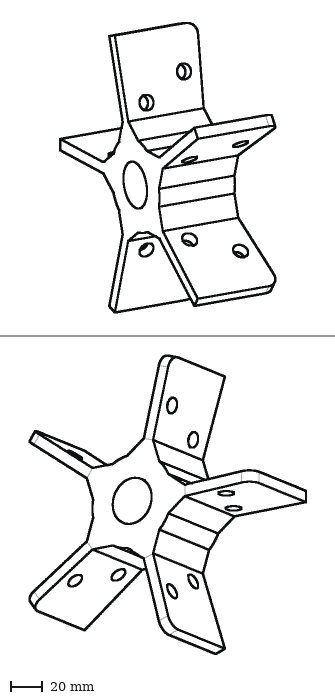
import cadquery as cq
import math

hub_radius = 30.7
bore_diameter = 30.0
hub_depth = 55.0

fin_count = 5
fin_reach = 95.4
fin_thickness = 7.5
fin_depth = 59.2
fin_corner_radius = 7.5
fin_root = 40.5

flare_angle = math.radians(180 / fin_count)

hole_diameter = 10.0
hole_places = [(65.5, 45.0), (50.2, 15.0)]


def make_hub():
    return cq.Workplane("XZ").circle(hub_radius).extrude(-hub_depth)


def make_flare():
    """Wedge from the hub axis out to the root of the fin that points along -X."""
    half = fin_thickness / 2
    side_offset = fin_root * math.sin(flare_angle) + half * math.cos(flare_angle)
    meeting_angle = math.pi / 2 - flare_angle - math.acos(side_offset / hub_radius)
    meeting_x = -hub_radius * math.cos(meeting_angle)
    meeting_z = hub_radius * math.sin(meeting_angle)
    outline = [
        (0, 0),
        (meeting_x, meeting_z),
        (-fin_root, half),
        (-fin_root, -half),
        (meeting_x, -meeting_z),
    ]
    return cq.Workplane("XZ").polyline(outline).close().extrude(-hub_depth)


def make_fin():
    """Plate pointing along -X, with a sloped back edge, one round corner and bolt holes."""
    corner_x = -fin_reach + fin_corner_radius
    corner_y = fin_depth - fin_corner_radius

    run = -fin_root - corner_x
    drop = corner_y - hub_depth
    tangent_angle = math.atan2(-drop, run) + math.acos(fin_corner_radius / math.hypot(run, drop))
    tangent_point = (
        corner_x + fin_corner_radius * math.cos(tangent_angle),
        corner_y + fin_corner_radius * math.sin(tangent_angle),
    )
    arc_angle = (tangent_angle + math.pi) / 2
    arc_point = (
        corner_x + fin_corner_radius * math.cos(arc_angle),
        corner_y + fin_corner_radius * math.sin(arc_angle),
    )

    plate = (
        cq.Workplane("XY", origin=(0, 0, -fin_thickness / 2))
        .moveTo(-hub_radius, 0)
        .lineTo(-fin_reach, 0)
        .lineTo(-fin_reach, corner_y)
        .threePointArc(arc_point, tangent_point)
        .lineTo(-fin_root, hub_depth)
        .lineTo(-hub_radius, hub_depth)
        .close()
        .extrude(fin_thickness)
    )
    holes = (
        cq.Workplane("XY", origin=(0, 0, -fin_thickness / 2))
        .pushPoints([(-distance, y) for distance, y in hole_places])
        .circle(hole_diameter / 2)
        .extrude(fin_thickness)
    )
    return plate.cut(holes)


arm = make_flare().union(make_fin())
result = make_hub()
for index in range(fin_count):
    result = result.union(arm.rotate((0, 0, 0), (0, 1, 0), index * 360 / fin_count))

bore = cq.Workplane("XZ").circle(bore_diameter / 2).extrude(-hub_depth)
result = result.cut(bore)